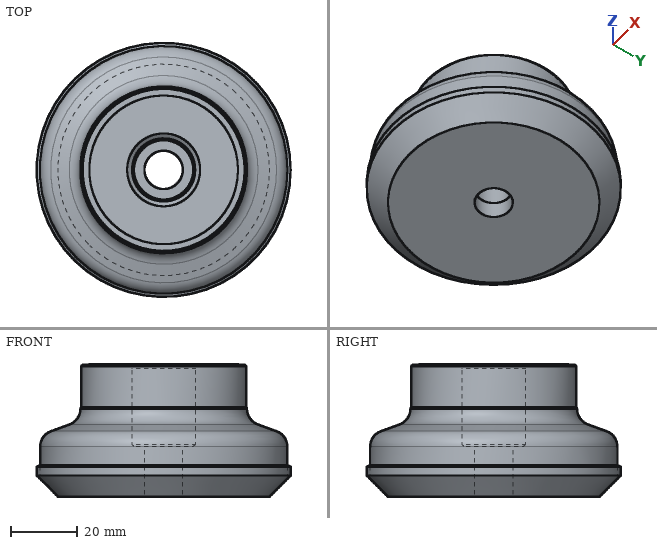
import cadquery as cq
import math

total_height = 40.0
pad_radius = 38.25
through_hole_radius = 5.7

pad_cone_height = 6.4
lip_edge_height = 9.0
lip_top_height = 9.6

skirt_radius = 74.5 / 2
shoulder_radius = 50.25 / 2
shoulder_height = 26.5
blend_radius = 5.0
slope_angle = math.radians(20)

collar_radius = 49.8 / 2
collar_base_height = 27.0
collar_chamfer = 0.5
face_radius = 44.75 / 2
face_step = 0.2

bore_radius = 19.05 / 2
bore_floor_height = 15.15
bore_entry_chamfer = 1.45
bore_floor_chamfer = 0.6


def revolve_outline(outline):
    """Turn a closed radius-height outline about the Z axis."""
    return outline.close().revolve(360, (0, 0, 0), (0, 1, 0))


def arc_point(center, angle):
    """Point on a blend arc; the angle is measured from the +radius direction."""
    return (
        center[0] + blend_radius * math.cos(angle),
        center[1] + blend_radius * math.sin(angle),
    )


def make_pad():
    """Ring with a conical underside and a recess that holds the housing skirt."""
    return revolve_outline(
        cq.Workplane("XZ")
        .moveTo(through_hole_radius, 0)
        .lineTo(pad_radius - pad_cone_height, 0)
        .lineTo(pad_radius, pad_cone_height)
        .lineTo(pad_radius, lip_edge_height)
        .lineTo(skirt_radius, lip_top_height)
        .lineTo(skirt_radius, pad_cone_height)
        .lineTo(through_hole_radius, pad_cone_height)
    )


def make_housing_blank():
    """Bell-shaped housing with its through hole, before the bore is cut."""
    hollow_center = (shoulder_radius + blend_radius, shoulder_height)
    hollow_end_angle = 1.5 * math.pi - slope_angle
    hollow_mid_angle = (math.pi + hollow_end_angle) / 2
    hollow_end = arc_point(hollow_center, hollow_end_angle)

    round_start_angle = math.pi / 2 - slope_angle
    round_start_radius = skirt_radius - blend_radius * (1 - math.cos(round_start_angle))
    slope_drop = (round_start_radius - hollow_end[0]) * math.tan(slope_angle)
    round_start_height = hollow_end[1] - slope_drop
    skirt_top_height = round_start_height - blend_radius * math.sin(round_start_angle)
    round_center = (skirt_radius - blend_radius, skirt_top_height)

    rim_height = total_height - face_step
    return revolve_outline(
        cq.Workplane("XZ")
        .moveTo(through_hole_radius, pad_cone_height)
        .lineTo(through_hole_radius, total_height)
        .lineTo(face_radius, total_height)
        .lineTo(face_radius, rim_height)
        .lineTo(collar_radius - collar_chamfer, rim_height)
        .lineTo(collar_radius, rim_height - collar_chamfer)
        .lineTo(collar_radius, collar_base_height)
        .lineTo(shoulder_radius, shoulder_height)
        .threePointArc(arc_point(hollow_center, hollow_mid_angle), hollow_end)
        .lineTo(round_start_radius, round_start_height)
        .threePointArc(
            arc_point(round_center, round_start_angle / 2),
            (skirt_radius, skirt_top_height),
        )
        .lineTo(skirt_radius, pad_cone_height)
    )


def make_bore_cutter():
    """Bore shape with a wide 45 degree entry and a bevelled floor edge."""
    return revolve_outline(
        cq.Workplane("XZ")
        .moveTo(0, bore_floor_height)
        .lineTo(bore_radius - bore_floor_chamfer, bore_floor_height)
        .lineTo(bore_radius, bore_floor_height + bore_floor_chamfer)
        .lineTo(bore_radius, total_height - bore_entry_chamfer)
        .lineTo(bore_radius + bore_entry_chamfer, total_height)
        .lineTo(0, total_height)
    )


pad = make_pad()
housing = make_housing_blank().cut(make_bore_cutter())

result = cq.Compound.makeCompound([pad.val(), housing.val()])